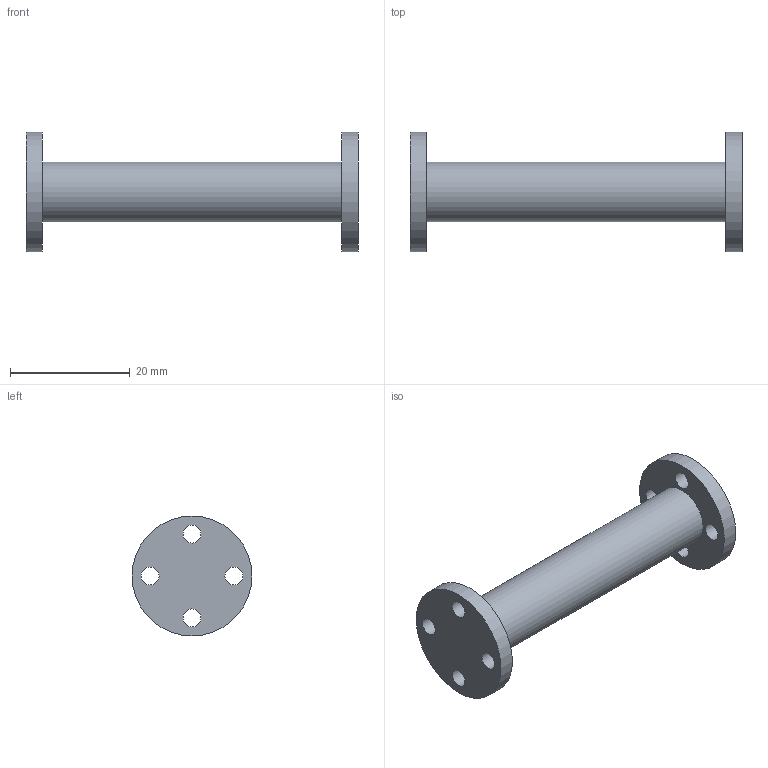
import cadquery as cq

shaft_length = 50.0
shaft_diameter = 10.0
flange_diameter = 20.0
flange_thickness = 2.7
hole_diameter = 3.0
hole_circle_radius = 7.0
hole_count = 4

flange_inner_x = shaft_length / 2
flange_outer_x = flange_inner_x + flange_thickness


def cylinder_along_x(start_x, length, diameter):
    """Solid cylinder on the X axis, growing toward +X from start_x."""
    return cq.Workplane("YZ", origin=(start_x, 0, 0)).circle(diameter / 2).extrude(length)


def drilled_flange(start_x):
    """Round flange with evenly spaced through holes on the Y and Z axes."""
    flange = cylinder_along_x(start_x, flange_thickness, flange_diameter)
    holes = (
        cq.Workplane("YZ", origin=(start_x, 0, 0))
        .polarArray(hole_circle_radius, 0, 360, hole_count)
        .circle(hole_diameter / 2)
        .extrude(flange_thickness)
    )
    return flange.cut(holes)


result = cylinder_along_x(-flange_inner_x, shaft_length, shaft_diameter)
for flange_start_x in (-flange_outer_x, flange_inner_x):
    result = result.union(drilled_flange(flange_start_x))